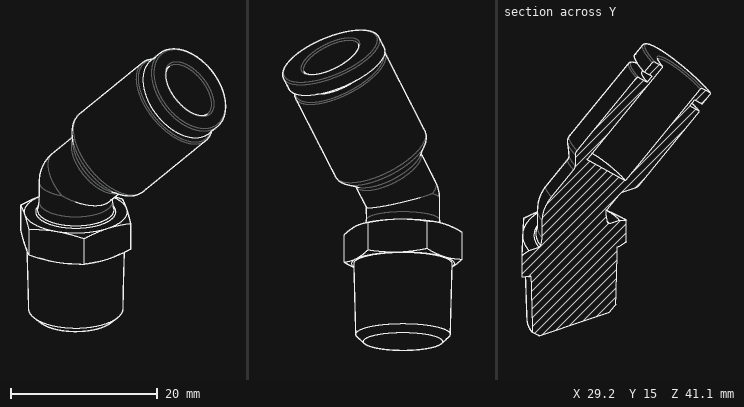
import cadquery as cq
import math

stub_chamfer = 1.0
stub_tip_radius = 5.4
stub_bottom_radius = 6.45
stub_top_radius = 6.7
stub_height = 10.9

hex_across_flats = 14.0
hex_height = 4.6
hex_corner_drop = 0.39
hex_corner_radius = hex_across_flats / math.sqrt(3)
hex_face_radius = hex_across_flats / 2
hex_top = stub_height + hex_height

neck_radius = 5.0
flare_radius = 5.2
foot_radius = 5.45
foot_height = 0.25
flare_top = 17.0
elbow_height = 20.0
bend_angle = 45.0

body_radius = 6.85
shoulder_start = 5.2
shoulder_end = shoulder_start + body_radius - neck_radius
shoulder_blend = 0.9
body_end = 20.65
body_edge_round = 0.2

sleeve_radius = 4.7
collar_start = 21.65
collar_thickness = 2.0
collar_width = 15.0
collar_depth = 12.7
collar_edge_round = 0.25
collar_end = collar_start + collar_thickness

socket_radius = 4.15
socket_mouth_round = 0.25
socket_floor = shoulder_end


def revolve_profile(points):
    """Revolve a closed (radius, height) outline about the Z axis."""
    return cq.Workplane("XZ").polyline(points).close().revolve(360, (0, 0, 0), (0, 1, 0))


def make_stub():
    return revolve_profile([
        (0, 0),
        (stub_tip_radius, 0),
        (stub_bottom_radius, stub_chamfer),
        (stub_top_radius, stub_height),
        (0, stub_height),
    ])


def make_hex():
    prism = (
        cq.Workplane("XY")
        .workplane(offset=stub_height)
        .polygon(6, 2 * hex_corner_radius)
        .extrude(hex_height)
    )
    corner_envelope = revolve_profile([
        (0, stub_height),
        (hex_face_radius, stub_height),
        (hex_corner_radius, stub_height + hex_corner_drop),
        (hex_corner_radius, hex_top - hex_corner_drop),
        (hex_face_radius, hex_top),
        (0, hex_top),
    ])
    return prism.intersect(corner_envelope)


def make_neck():
    return revolve_profile([
        (0, hex_top),
        (foot_radius, hex_top),
        (flare_radius, hex_top + foot_height),
        (neck_radius, flare_top),
        (neck_radius, elbow_height),
        (0, elbow_height),
    ])


def make_body():
    """Arm and push-in body, standing on the origin along Z."""
    body = revolve_profile([
        (0, 0),
        (neck_radius, 0),
        (neck_radius, shoulder_start),
        (body_radius, shoulder_end),
        (body_radius, body_end),
        (0, body_end),
    ])
    shoulder_zone = cq.selectors.BoxSelector(
        (-body_radius, -body_radius, shoulder_start - shoulder_blend),
        (body_radius, body_radius, shoulder_end + shoulder_blend),
    )
    body = body.edges("%CIRCLE").edges(shoulder_zone).fillet(shoulder_blend)
    return body.faces(">Z").edges().fillet(body_edge_round)


def make_collar():
    """Oval release collar on its round sleeve."""
    sleeve = (
        cq.Workplane("XY")
        .workplane(offset=body_end)
        .circle(sleeve_radius)
        .extrude(collar_start - body_end)
    )
    flange = (
        cq.Workplane("XY")
        .workplane(offset=collar_start)
        .ellipse(collar_depth / 2, collar_width / 2)
        .extrude(collar_thickness)
    )
    flange = flange.faces(">Z").edges().fillet(collar_edge_round)
    return sleeve.union(flange)


def cut_socket(arm):
    socket = (
        cq.Workplane("XY")
        .workplane(offset=socket_floor)
        .circle(socket_radius)
        .extrude(collar_end - socket_floor)
    )
    arm = arm.cut(socket)
    return arm.faces(">Z").edges("%CIRCLE").fillet(socket_mouth_round)


def make_arm():
    arm = cut_socket(make_body().union(make_collar()))
    tilted = arm.rotate((0, 0, 0), (0, 1, 0), bend_angle)
    return tilted.translate((0, 0, elbow_height))


elbow = cq.Workplane("XY").sphere(neck_radius).translate((0, 0, elbow_height))

result = make_stub().union(make_hex()).union(make_neck()).union(elbow).union(make_arm())